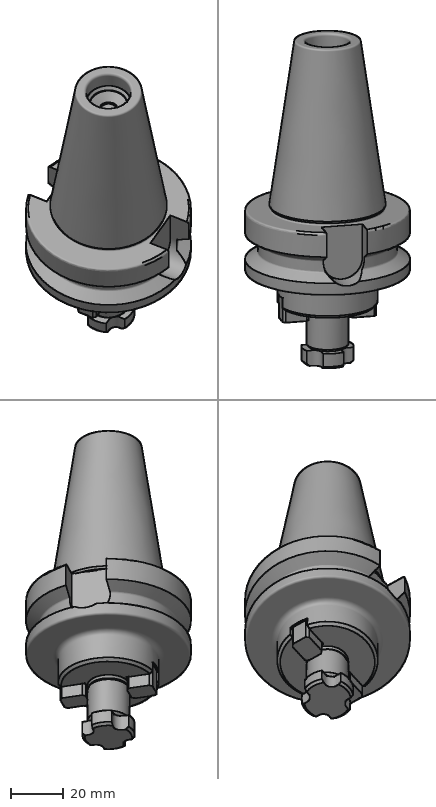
import cadquery as cq
import math

total_height = 128.4
flange_diameter = 63.0

cut_overrun = 1.3

taper_ratio = 7 / 24
taper_base_diameter = 44.5
taper_base_height = 62.8
tip_edge_round = 0.8
neck_diameter = 43.4
neck_height = 0.9
neck_foot_radius = 0.5

flange_bottom = 36.1
flange_top = 61.0
flange_edge_round = 0.9
groove_center = 46.2
groove_floor_diameter = 53.2
groove_floor_width = 4.8
groove_corner_round = 0.6
groove_flank_angle = math.radians(30)

slot_width = 16.0
slot_wall_offset = 22.5
slot_bottom = 39.7

boss_diameter = 38.4
boss_bottom = 23.0
boss_chamfer = 1.2
boss_root_fillet = 2.0

stem_diameter = 16.0
relief_diameter = 15.0
relief_flare_height = 1.2
relief_cone_height = 0.9
stem_end_chamfer = 1.0

head_diameter = 20.0
head_height = 6.2
head_chamfer = 1.0
lobe_width = 8.0
notch_corner_radius = 3.0

key_width = 8.0
key_bottom = 18.0
key_top = 28.0
key_inner_offset = 8.2
key_outer_offset = 18.4
key_chamfer = 1.0

bore_diameter = 17.0
bore_depth = 6.5
bore_mouth_round = 1.0
bore_step_diameter = 14.5
bore_step_top = 7.7
bore_step_depth = 8.1
bore_cone_end_diameter = 6.9
bore_cone_depth = 10.4
bore_floor_diameter = 6.4
bore_floor_depth = 11.0


def make_body():
    """Revolve the shank, neck, flange, boss, stem and head around Z."""
    flange_radius = flange_diameter / 2
    taper_base_radius = taper_base_diameter / 2
    neck_radius = neck_diameter / 2
    boss_radius = boss_diameter / 2
    stem_radius = stem_diameter / 2
    relief_radius = relief_diameter / 2
    head_radius = head_diameter / 2

    taper_length = total_height - taper_base_height
    tip_radius = taper_base_radius - taper_length * taper_ratio / 2
    relief_foot = boss_bottom - relief_flare_height

    round_mid = 1 - math.sqrt(0.5)
    edge_mid = flange_edge_round * round_mid
    root_mid = boss_root_fillet * round_mid
    foot_mid = neck_foot_radius * round_mid

    profile = (
        cq.Workplane("XZ")
        .moveTo(0, 0)
        .lineTo(head_radius - head_chamfer, 0)
        .lineTo(head_radius, head_chamfer)
        .lineTo(head_radius, head_height)
        .lineTo(stem_radius - stem_end_chamfer, head_height)
        .lineTo(stem_radius, head_height + stem_end_chamfer)
        .lineTo(stem_radius, relief_foot - relief_cone_height)
        .lineTo(relief_radius, relief_foot)
        .lineTo(stem_radius, boss_bottom)
        .lineTo(boss_radius - boss_chamfer, boss_bottom)
        .lineTo(boss_radius, boss_bottom + boss_chamfer)
        .lineTo(boss_radius, flange_bottom - boss_root_fillet)
        .threePointArc(
            (boss_radius + root_mid, flange_bottom - root_mid),
            (boss_radius + boss_root_fillet, flange_bottom),
        )
        .lineTo(flange_radius - flange_edge_round, flange_bottom)
        .threePointArc(
            (flange_radius - edge_mid, flange_bottom + edge_mid),
            (flange_radius, flange_bottom + flange_edge_round),
        )
        .lineTo(flange_radius, flange_top - flange_edge_round)
        .threePointArc(
            (flange_radius - edge_mid, flange_top - edge_mid),
            (flange_radius - flange_edge_round, flange_top),
        )
        .lineTo(neck_radius + neck_foot_radius, flange_top)
        .threePointArc(
            (neck_radius + foot_mid, flange_top + foot_mid),
            (neck_radius, flange_top + neck_foot_radius),
        )
        .lineTo(neck_radius, flange_top + neck_height)
        .lineTo(taper_base_radius, taper_base_height)
        .lineTo(tip_radius, total_height)
        .lineTo(0, total_height)
        .close()
    )
    body = profile.revolve(360, (0, 0, 0), (0, 1, 0))
    return body.faces(">Z").edges().fillet(tip_edge_round)


def make_groove():
    """Ring that cuts the V groove, with rounded corners at its floor."""
    mouth_radius = flange_diameter / 2 + cut_overrun
    floor_radius = groove_floor_diameter / 2
    floor_half = groove_floor_width / 2
    mouth_half = floor_half + (mouth_radius - floor_radius) * math.tan(groove_flank_angle)
    ring = (
        cq.Workplane("XZ", origin=(0, 0, groove_center))
        .moveTo(mouth_radius, -mouth_half)
        .lineTo(floor_radius, -floor_half)
        .lineTo(floor_radius, floor_half)
        .lineTo(mouth_radius, mouth_half)
        .close()
        .revolve(360, (0, 0, 0), (0, 1, 0))
    )
    return ring.edges(cq.selectors.RadiusNthSelector(0)).fillet(groove_corner_round)


def make_bore():
    """Stepped bore with a rounded mouth and a conical end with a flat floor."""
    bore_radius = bore_diameter / 2
    step_radius = bore_step_diameter / 2
    mouth_mid = bore_mouth_round * (1 - math.sqrt(0.5))
    step_height = total_height - bore_step_depth
    floor_height = total_height - bore_floor_depth
    profile = (
        cq.Workplane("XZ")
        .moveTo(0, total_height)
        .lineTo(bore_radius + bore_mouth_round, total_height)
        .threePointArc(
            (bore_radius + mouth_mid, total_height - mouth_mid),
            (bore_radius, total_height - bore_mouth_round),
        )
        .lineTo(bore_radius, total_height - bore_depth)
        .lineTo(step_radius, total_height - bore_step_top)
        .lineTo(step_radius, step_height)
        .lineTo(bore_cone_end_diameter / 2, total_height - bore_cone_depth)
        .lineTo(bore_floor_diameter / 2, floor_height)
        .lineTo(0, floor_height)
        .close()
    )
    return profile.revolve(360, (0, 0, 0), (0, 1, 0))


def make_drive_slot(side):
    """Round-bottomed slot through the flange rim; side is -1 or +1 along X."""
    half_width = slot_width / 2
    arc_center = slot_bottom + half_width
    return (
        cq.Workplane("YZ", origin=(side * slot_wall_offset, 0, 0))
        .moveTo(-half_width, flange_top)
        .lineTo(-half_width, arc_center)
        .threePointArc((0, slot_bottom), (half_width, arc_center))
        .lineTo(half_width, flange_top)
        .close()
        .extrude(side * (flange_diameter / 2 - slot_wall_offset + cut_overrun))
    )


def make_key(side):
    """Drive key with chamfered upright edges; side is -1 or +1 along Y."""
    length = key_outer_offset - key_inner_offset
    center = side * (key_inner_offset + key_outer_offset) / 2
    return (
        cq.Workplane("XY", origin=(0, center, key_bottom))
        .rect(key_width, length)
        .extrude(key_top - key_bottom)
        .edges("|Z")
        .chamfer(key_chamfer)
    )


def make_key_slot(side):
    """Pocket in the boss that receives a drive key, open at the rim and below."""
    length = boss_diameter / 2 - key_inner_offset
    center = side * (key_inner_offset + length / 2)
    return (
        cq.Workplane("XY", origin=(0, center, key_bottom))
        .rect(key_width, length)
        .extrude(key_top - key_bottom)
    )


def make_head_notch(quarter):
    """Square notch with a rounded inner corner, between two lobes of the head."""
    inner = lobe_width / 2
    return (
        cq.Workplane("XY")
        .rect(head_diameter, head_diameter, centered=False)
        .extrude(head_height)
        .edges("|Z and <X and <Y")
        .fillet(notch_corner_radius)
        .translate((inner, inner, 0))
        .rotate((0, 0, 0), (0, 0, 1), 90 * quarter)
    )


result = make_body().cut(make_groove()).cut(make_bore())
for side in (-1, 1):
    result = result.cut(make_drive_slot(side))
    result = result.cut(make_key_slot(side)).union(make_key(side))
for quarter in range(4):
    result = result.cut(make_head_notch(quarter))